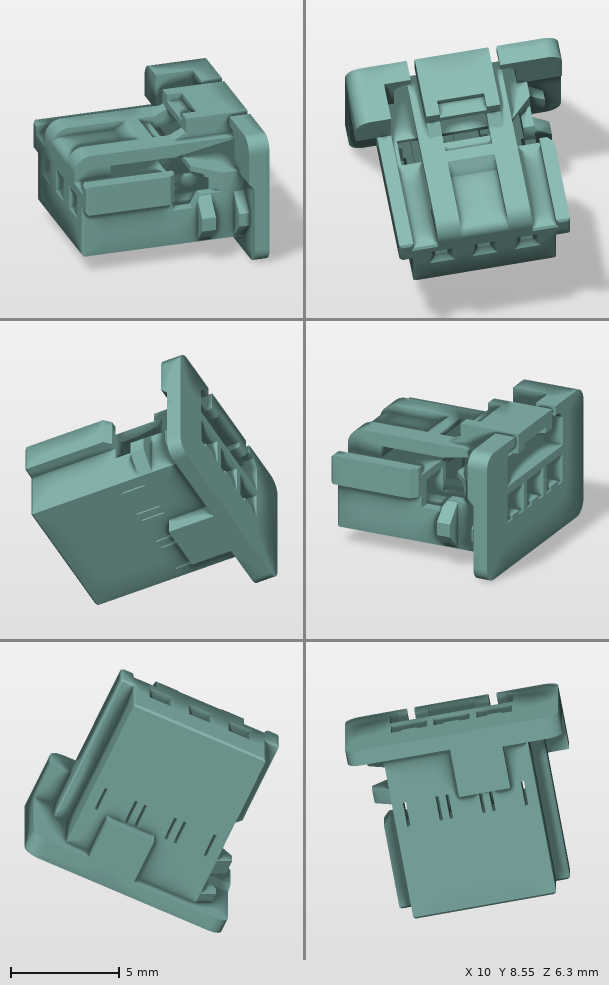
import cadquery as cq


LENGTH = 8.55
FLANGE_WIDTH = 10.0
HEIGHT = 6.3

BODY_HALF_WIDTH = 3.35
BODY_BOTTOM = 0.78
DECK_TOP = 4.1
FRONT_BEVEL = 0.1

RAIL_HALF_WIDTH = 4.0
RAIL_BOTTOM = 3.13
RAIL_TOP = 4.55
LEFT_RAIL_BEVEL = 0.1
RIGHT_RAIL_LENGTH = 4.37
RAIL_END_CHAMFER = 0.3

FLANGE_FRONT = 7.55
FLANGE_RADIUS = 0.7
LIP_HALF_GAP = 2.1
LIP_BOTTOM = 5.84
WINDOW_HALF_WIDTH = 2.88
WINDOW_CHAMFER = 0.35
SIDE_BLOCK_FRONT = 5.75
FLANGE_RELIEF_DEPTH = 0.3
FLANGE_RELIEF_LEFT = 0.2

KEY_LEFT = -2.2
KEY_RIGHT = FLANGE_RELIEF_LEFT
KEY_FRONT = 5.55

RIB_TIP = 4.16
RIB_CENTER_Z = 1.95
RIB_TIP_HALF_HEIGHT = 0.32
RIB_SPANS = [(5.56, 6.23), (7.35, FLANGE_FRONT + FLANGE_RELIEF_DEPTH)]

ARM_HALF_WIDTH = 2.21
ARM_TOP = 5.29
ARM_BOTTOM = 4.66
ARM_RADIUS = 0.79
ARM_ROOT_END = 1.74
ARM_TAPER_START = 4.89
ARM_TIP = 8.24
POCKET_HALF_WIDTH = 1.1
POCKET_DEPTH = 0.4
POCKET_FLOOR_END = 2.98
POCKET_END = 3.6

LATCH_HALF_WIDTH = 1.73
LATCH_FRONT = 5.56
LATCH_RAMP_START = 4.95
LATCH_RAMP_TOP = 5.59
PLATE_BOTTOM = 5.62
CHANNEL_FRONT = 4.15
LEDGE_END = 4.7
LEDGE_TOP = 5.03
GRIP_DEPTH = 0.35
GRIP_LENGTH = 0.71

PITCH = 2.0
CONTACTS = 3
PIN_Z = 3.0
PIN_ENTRY = 1.16
PIN_HOLE = 0.6
CAVITY_FRONT = 1.5
CAVITY_HALF_WIDTH = 0.84
CAVITY_FLOOR = 2.3
CAVITY_TOP = 3.7
RIDGE_HALF_WIDTH = 0.35
RIDGE_HEIGHT = 0.2
LANCE_HALF_WIDTH = 0.69
SLIT_END = 5.57

ACCESS_FRONT = 4.37
ACCESS_REAR = 5.63
ACCESS_LEFT = -3.11
ACCESS_FLOOR = 2.51
ACCESS_SLOPE_START = 5.36
ACCESS_SLOPE_END = 5.72
UNDERCUT_REAR = 6.15
DECK_THICKNESS = 0.27
DECK_CUT_REAR = 6.8


def box(x0, x1, y0, y1, z0, z1):
    """Box between two opposite corners."""
    return cq.Workplane("XY").box(x1 - x0, y1 - y0, z1 - z0, centered=False).translate((x0, y0, z0))


def along_y(points, y0, y1):
    """Closed outline of (x, z) points, extruded from y0 to y1."""
    return cq.Workplane("XZ", origin=(0, y0, 0)).polyline(points).close().extrude(y0 - y1)


def along_x(points, x0, x1):
    """Closed outline of (y, z) points, extruded from x0 to x1."""
    return cq.Workplane("YZ", origin=(x0, 0, 0)).polyline(points).close().extrude(x1 - x0)


def make_body():
    right_half = [
        (BODY_HALF_WIDTH, BODY_BOTTOM),
        (BODY_HALF_WIDTH, RAIL_BOTTOM),
        (RAIL_HALF_WIDTH, RAIL_BOTTOM),
        (RAIL_HALF_WIDTH, RAIL_TOP),
        (BODY_HALF_WIDTH, RAIL_TOP),
        (BODY_HALF_WIDTH, DECK_TOP),
    ]
    left_half = [(-x, z) for x, z in reversed(right_half)]

    left_corner = left_half.index((-RAIL_HALF_WIDTH, RAIL_BOTTOM))
    left_half[left_corner:left_corner + 1] = [
        (-RAIL_HALF_WIDTH, RAIL_BOTTOM + LEFT_RAIL_BEVEL),
        (LEFT_RAIL_BEVEL - RAIL_HALF_WIDTH, RAIL_BOTTOM),
    ]
    body = along_y(right_half + left_half, 0, LENGTH)
    body = body.faces("<Y").chamfer(FRONT_BEVEL)

    rail_cut = (
        cq.Workplane("XY", origin=(0, 0, RAIL_BOTTOM))
        .moveTo(BODY_HALF_WIDTH, RIGHT_RAIL_LENGTH)
        .lineTo(RAIL_HALF_WIDTH - RAIL_END_CHAMFER, RIGHT_RAIL_LENGTH)
        .lineTo(RAIL_HALF_WIDTH, RIGHT_RAIL_LENGTH - RAIL_END_CHAMFER)
        .lineTo(RAIL_HALF_WIDTH, LENGTH)
        .lineTo(BODY_HALF_WIDTH, LENGTH)
        .close()
        .extrude(RAIL_TOP - RAIL_BOTTOM)
    )
    return body.cut(rail_cut)


def make_flange():
    half_width = FLANGE_WIDTH / 2
    flange = box(-half_width, half_width, SIDE_BLOCK_FRONT, LENGTH, 0, HEIGHT)
    flange = flange.edges("|Y").fillet(FLANGE_RADIUS)

    flange = flange.cut(
        box(-half_width, half_width, SIDE_BLOCK_FRONT, FLANGE_FRONT, 0, RAIL_TOP)
    )
    flange = flange.cut(
        box(-BODY_HALF_WIDTH, half_width, SIDE_BLOCK_FRONT, FLANGE_FRONT, RAIL_TOP, HEIGHT)
    )

    chamfer_x = WINDOW_HALF_WIDTH - WINDOW_CHAMFER
    window = [
        (WINDOW_HALF_WIDTH, DECK_TOP),
        (WINDOW_HALF_WIDTH, LIP_BOTTOM - WINDOW_CHAMFER),
        (chamfer_x, LIP_BOTTOM),
        (LIP_HALF_GAP, LIP_BOTTOM),
        (LIP_HALF_GAP, HEIGHT),
    ]
    window += [(-x, z) for x, z in reversed(window)]
    flange = flange.cut(along_y(window, FLANGE_FRONT, LENGTH))

    relief_rear = FLANGE_FRONT + FLANGE_RELIEF_DEPTH
    relief = [
        (FLANGE_FRONT, 0),
        (relief_rear, 0),
        (relief_rear, DECK_TOP - FLANGE_RELIEF_DEPTH),
        (FLANGE_FRONT, DECK_TOP),
    ]
    return flange.cut(along_x(relief, FLANGE_RELIEF_LEFT, half_width))


def make_ribs():
    foot_half_height = RIB_TIP_HALF_HEIGHT + RIB_TIP - BODY_HALF_WIDTH
    profile = [
        (BODY_HALF_WIDTH, RIB_CENTER_Z - foot_half_height),
        (RIB_TIP, RIB_CENTER_Z - RIB_TIP_HALF_HEIGHT),
        (RIB_TIP, RIB_CENTER_Z + RIB_TIP_HALF_HEIGHT),
        (BODY_HALF_WIDTH, RIB_CENTER_Z + foot_half_height),
    ]
    ribs = cq.Workplane("XY")
    for y0, y1 in RIB_SPANS:
        ribs = ribs.add(along_y(profile, y0, y1))
    return ribs.combine()


def make_latch():
    taper_slope = (ARM_TOP - ARM_BOTTOM) / (ARM_TIP - ARM_TAPER_START)
    block_rear_bottom = ARM_TOP + taper_slope * (LENGTH - ARM_TIP)

    arm = (
        cq.Workplane("YZ", origin=(-ARM_HALF_WIDTH, 0, 0))
        .moveTo(0, DECK_TOP - FRONT_BEVEL)
        .lineTo(0, ARM_TOP - ARM_RADIUS)
        .radiusArc((ARM_RADIUS, ARM_TOP), ARM_RADIUS)
        .lineTo(ARM_TIP, ARM_TOP)
        .lineTo(ARM_TAPER_START, ARM_BOTTOM)
        .lineTo(ARM_ROOT_END, ARM_BOTTOM)
        .lineTo(ARM_ROOT_END, DECK_TOP - FRONT_BEVEL)
        .close()
        .extrude(2 * ARM_HALF_WIDTH)
    )

    block = along_x(
        [
            (LATCH_RAMP_START, ARM_TOP),
            (LATCH_FRONT, LATCH_RAMP_TOP),
            (LATCH_FRONT, HEIGHT),
            (LENGTH, HEIGHT),
            (LENGTH, block_rear_bottom),
            (ARM_TAPER_START, ARM_BOTTOM),
        ],
        -LATCH_HALF_WIDTH,
        LATCH_HALF_WIDTH,
    )

    channel = along_x(
        [
            (LEDGE_END, ARM_BOTTOM),
            (LEDGE_END, LEDGE_TOP),
            (CHANNEL_FRONT, LEDGE_TOP),
            (CHANNEL_FRONT, PLATE_BOTTOM),
            (LENGTH, PLATE_BOTTOM),
            (LENGTH, ARM_BOTTOM),
        ],
        -POCKET_HALF_WIDTH,
        POCKET_HALF_WIDTH,
    )
    grip = box(
        -POCKET_HALF_WIDTH,
        POCKET_HALF_WIDTH,
        LATCH_FRONT,
        LATCH_FRONT + GRIP_LENGTH,
        HEIGHT - GRIP_DEPTH,
        HEIGHT,
    )

    pocket_floor = ARM_TOP - POCKET_DEPTH
    pocket_radius = ARM_RADIUS - POCKET_DEPTH
    pocket = (
        cq.Workplane("YZ", origin=(-POCKET_HALF_WIDTH, 0, 0))
        .moveTo(0, ARM_TOP - ARM_RADIUS)
        .radiusArc((pocket_radius, pocket_floor), pocket_radius)
        .lineTo(POCKET_FLOOR_END, pocket_floor)
        .lineTo(POCKET_END, ARM_TOP)
        .lineTo(0, ARM_TOP)
        .close()
        .extrude(2 * POCKET_HALF_WIDTH)
    )
    return arm.union(block).cut(channel).cut(grip).cut(pocket)


def make_access_opening():
    """Opening in the deck, sloped down to the cavity walls and undercut behind."""
    undercut_top = DECK_TOP - DECK_THICKNESS
    opening = along_x(
        [
            (ACCESS_FRONT, ACCESS_FLOOR),
            (ACCESS_SLOPE_START, ACCESS_FLOOR),
            (ACCESS_SLOPE_END, RAIL_BOTTOM),
            (UNDERCUT_REAR, RAIL_BOTTOM),
            (UNDERCUT_REAR, undercut_top),
            (ACCESS_REAR, undercut_top),
            (ACCESS_REAR, DECK_TOP),
            (ACCESS_FRONT, DECK_TOP),
        ],
        ACCESS_LEFT,
        RIB_TIP,
    )
    corner = (
        cq.Workplane("XY", origin=(0, 0, RAIL_BOTTOM))
        .moveTo(BODY_HALF_WIDTH, ACCESS_REAR)
        .lineTo(BODY_HALF_WIDTH, DECK_CUT_REAR)
        .lineTo(BODY_HALF_WIDTH - (DECK_CUT_REAR - ACCESS_REAR), ACCESS_REAR)
        .close()
        .extrude(DECK_TOP - RAIL_BOTTOM)
    )
    return opening.union(corner)


def make_cavity(x):
    """One contact passage: tapered entry, pin hole, cavity and the slits beside its lance."""
    taper_depth = (PIN_ENTRY - PIN_HOLE) / 2
    entry = (
        cq.Workplane("XZ", origin=(x, 0, PIN_Z))
        .rect(PIN_ENTRY, PIN_ENTRY)
        .workplane(offset=-taper_depth)
        .rect(PIN_HOLE, PIN_HOLE)
        .loft()
    )
    half_hole = PIN_HOLE / 2
    hole = box(
        x - half_hole, x + half_hole, taper_depth, CAVITY_FRONT, PIN_Z - half_hole, PIN_Z + half_hole
    )
    chamber = box(
        x - CAVITY_HALF_WIDTH, x + CAVITY_HALF_WIDTH, CAVITY_FRONT, LENGTH, CAVITY_FLOOR, CAVITY_TOP
    )
    ridge = box(
        x - RIDGE_HALF_WIDTH,
        x + RIDGE_HALF_WIDTH,
        CAVITY_FRONT,
        LENGTH,
        CAVITY_FLOOR,
        CAVITY_FLOOR + RIDGE_HEIGHT,
    )
    passage = chamber.cut(ridge).union(hole).union(entry)
    for x0, x1 in [(-CAVITY_HALF_WIDTH, -LANCE_HALF_WIDTH), (LANCE_HALF_WIDTH, CAVITY_HALF_WIDTH)]:
        passage = passage.union(box(x + x0, x + x1, ACCESS_FRONT, SLIT_END, BODY_BOTTOM, CAVITY_TOP))
    return passage


key = box(KEY_LEFT, KEY_RIGHT, KEY_FRONT, LENGTH, 0, BODY_BOTTOM)

result = make_body().union(make_flange()).union(key).union(make_ribs())
result = result.cut(make_access_opening())
for index in range(CONTACTS):
    result = result.cut(make_cavity((index - (CONTACTS - 1) / 2) * PITCH))
result = result.union(make_latch())